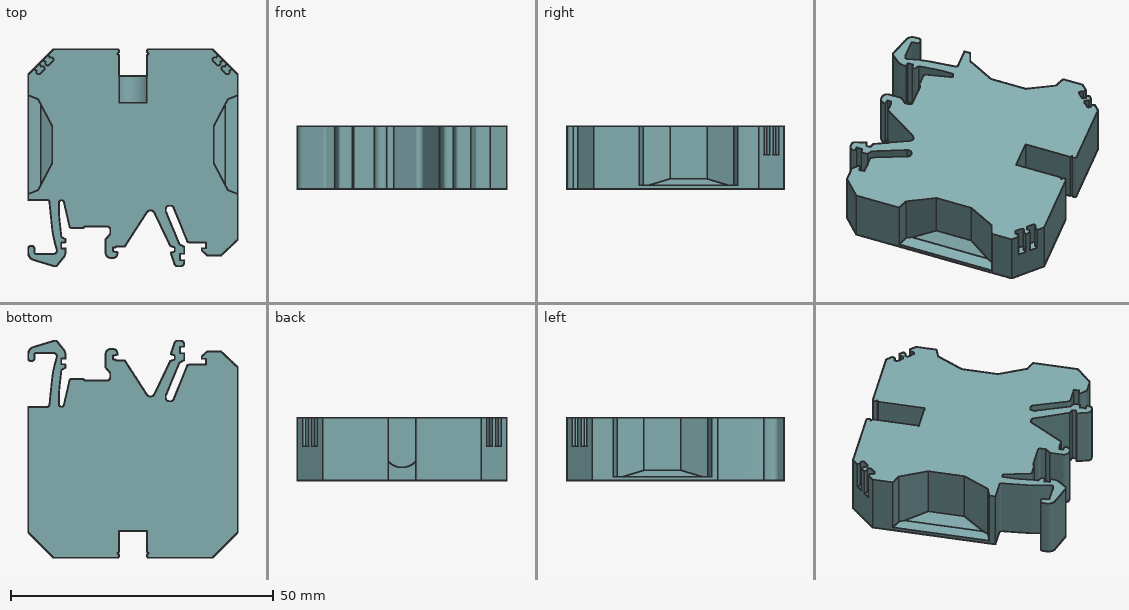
import cadquery as cq
import math

WIDTH = 40.0
HEIGHT = 41.45
THICKNESS = 12.0
SIDE = WIDTH / 2
CORNER_CHAMFER = 4.85
CHAMFER_ANGLE = 45

SLOT_HALF_WIDTH = 2.65
SLOT_OPEN_Y = 36.35
SEAT_END_Y = 31.25
SEAT_RADIUS = 3.5
BEAD_HALF_GAP = 3.0
BEAD_FOOT_Y = 40.8
BEAD_NOTCH_Y = 40.55
BEAD_END_Y = 40.3
BEAD_RADIUS = 0.4
BEAD_FOOT_RADIUS = 0.12

RECESS_Y = 23.2
RECESS_MOUTH_HALF = 9.4
RECESS_LIP_HALF = 8.65
RECESS_BACK_HALF = 3.52
RECESS_LIP_DEPTH = 1.9
RECESS_DEPTH = 4.6
RECESS_FLOOR_Z = 0.75
RAMP_START_DEPTH = 2.45
RAMP_TOP_Z = 2.0

MARKER_PITCH = 2.4
MARKER_MOUTH_WIDTH = 1.5
MARKER_NECK_WIDTH = 1.15
MARKER_NECK_DEPTH = 0.65
MARKER_HEAD_WIDTH = 1.8
MARKER_HEAD_DEPTH = 1.55
MARKER_HEAD_RADIUS = 0.35
MARKER_LENGTH = 5.45

LEFT_SHOULDER_Y = 12.65
RAIL_FACE_Y = 7.6
RAIL_STEP_Y = 7.3
HOOK_FLOOR_Y = 2.4
RIGHT_SHOULDER_Y = 4.55
RIGHT_FOOT_Y = 2.07
RIGHT_CHAMFER_TOP_Y = 5.1

HOOK_INNER_X = -18.77
HOOK_TIP_Y = 3.95
HOOK_TIP_RADIUS = 0.6
CATCH_ROOT_X = -13.65
CATCH_TIP_X = -12.85
LEG_INNER_X = -14.1
LEG_SLOT_TOP_Y = 12.6

CLAW_ROOT_X = -4.35
CLAW_BACK_X = -5.25
CLAW_TIP_Y = 1.57

SPRING_TIP_X = 9.8
SPRING_NOTCH_X = 9.0
SPRING_GROOVE_X = 7.95
SPRING_SLOT_X = 6.25
SPRING_SLOT_TOP_Y = 11.55
SPRING_SLOT_RADIUS = 0.65

FOOT_ROOT_X = 13.9
FOOT_TIP_X = 13.1

COINCIDENT = 4.14e-07


def rounded_outline(corners):
    """Closed wire through (x, y, radius) corners, each rounded by a tangent arc; radius 0 stays sharp."""
    count = len(corners)
    stretches = []
    for index, (x, y, radius) in enumerate(corners):
        corner = cq.Vector(x, y)
        if radius == 0:
            stretches.append((corner,))
            continue
        before = cq.Vector(*corners[index - 1][:2]) - corner
        after = cq.Vector(*corners[(index + 1) % count][:2]) - corner
        half_angle = before.getAngle(after) / 2
        setback = radius / math.tan(half_angle)
        bisector = (before.normalized() + after.normalized()).normalized()
        middle = corner + bisector * (radius / math.sin(half_angle) - radius)
        start = corner + before.normalized() * setback
        end = corner + after.normalized() * setback
        stretches.append((start, middle, end))
    edges = []
    for index, stretch in enumerate(stretches):
        if len(stretch) > 1:
            edges.append(cq.Edge.makeThreePointArc(*stretch))
        following = stretches[(index + 1) % count][0]
        if (following - stretch[-1]).Length > COINCIDENT:
            edges.append(cq.Edge.makeLine(stretch[-1], following))
    return cq.Wire.assembleEdges(edges)


def prism(corners, height):
    """Upright solid on Z = 0 with the rounded outline as its base."""
    face = cq.Face.makeFromWires(rounded_outline(corners))
    return cq.Workplane(cq.Solid.extrudeLinear(face, cq.Vector(0, 0, height)))


def slot_edge(side):
    """One wall of the screw slot, from the +Y edge inwards; side is -1 for left, 1 for right."""
    wall = side * SLOT_HALF_WIDTH
    return [
        (wall, HEIGHT, BEAD_RADIUS),
        (wall, BEAD_FOOT_Y, BEAD_FOOT_RADIUS),
        (side * BEAD_HALF_GAP, BEAD_NOTCH_Y, 0),
        (wall, BEAD_END_Y, 0),
        (wall, SLOT_OPEN_Y, 0),
    ]


HOOK_LEG = [
    (-SIDE, LEFT_SHOULDER_Y, 0),
    (-16.0, LEFT_SHOULDER_Y, 0.37),
    (-15.3, 5.9, 16.58),
    (-14.35, HOOK_FLOOR_Y, 0.62),
    (HOOK_INNER_X, HOOK_FLOOR_Y, 0.25),
    (HOOK_INNER_X, HOOK_TIP_Y, HOOK_TIP_RADIUS),
    (-SIDE, HOOK_TIP_Y, HOOK_TIP_RADIUS),
    (-SIDE, 1.55, 1.45),
    (-14.65, -0.1, 0.55),
    (CATCH_TIP_X, 2.15, 1.65),
    (CATCH_TIP_X, 3.45, 0),
    (CATCH_ROOT_X, 3.45, 0),
    (CATCH_ROOT_X, 4.5, 0),
    (CATCH_TIP_X, 4.5, 0.25),
    (CATCH_TIP_X, 5.2, 0.15),
    (CATCH_ROOT_X, 5.65, 0),
    (LEG_INNER_X, 9.75, 16.58),
    (LEG_INNER_X, LEG_SLOT_TOP_Y, 0.4),
    (-13.25, LEG_SLOT_TOP_Y, 0.37),
    (-12.05, RAIL_STEP_Y, 0.5),
    (-9.5, RAIL_STEP_Y, 0),
    (-9.25, RAIL_FACE_Y, 0),
]

CLAW = [
    (CLAW_ROOT_X, RAIL_FACE_Y, 0.55),
    (CLAW_ROOT_X, 6.17, 0),
    (CLAW_BACK_X, 5.15, 0),
    (CLAW_BACK_X, CLAW_TIP_Y, 1.1),
    (-3.1, CLAW_TIP_Y, 0.95),
    (-2.9, 2.7, 0),
    (-3.77, 2.9, 0),
    (-3.77, 3.6, 0),
    (-3.35, 3.6, 0),
    (-3.27, 3.77, 0),
    (-1.57, 3.77, 0),
    (3.45, 11.5, 0.83),
]

SPRING_LEG = [
    (7.1, 3.9, 0),
    (SPRING_GROOVE_X, 3.6, 0),
    (SPRING_GROOVE_X, 2.85, 0),
    (7.15, 2.6, 0),
    (8.05, 0, 0.7),
    (SPRING_TIP_X, 0, 0.75),
    (SPRING_TIP_X, 1.2, 0.2),
    (SPRING_NOTCH_X, 1.2, 0),
    (SPRING_NOTCH_X, 2.4, 0),
    (SPRING_TIP_X, 2.4, 0),
    (SPRING_TIP_X, 3.75, 0),
    (8.85, 4.23, 0.25),
    (SPRING_SLOT_X, 10.53, 0),
    (SPRING_SLOT_X, SPRING_SLOT_TOP_Y, SPRING_SLOT_RADIUS),
    (7.6, SPRING_SLOT_TOP_Y, SPRING_SLOT_RADIUS),
    (10.4, RIGHT_SHOULDER_Y, 0.55),
]

RIGHT_FOOT = [
    (FOOT_ROOT_X, RIGHT_SHOULDER_Y, 0),
    (FOOT_ROOT_X, 3.5, 0),
    (FOOT_TIP_X, 3.5, 0.12),
    (FOOT_TIP_X, 3.05, 0.1),
    (14.15, RIGHT_FOOT_Y, 0.15),
    (16.8, RIGHT_FOOT_Y, 0),
    (SIDE, RIGHT_CHAMFER_TOP_Y, 0),
]

TOP_EDGE = [
    (SIDE, HEIGHT - CORNER_CHAMFER, 0),
    (SIDE - CORNER_CHAMFER, HEIGHT, 0),
    *slot_edge(1),
    *reversed(slot_edge(-1)),
    (-SIDE + CORNER_CHAMFER, HEIGHT, 0),
    (-SIDE, HEIGHT - CORNER_CHAMFER, 0),
]


def screw_seat():
    """Floored end of the slot, open at the +Z face; the floor is an arc about an axis along Y."""
    axis_z = THICKNESS / 2
    floor_low_z = axis_z - SEAT_RADIUS
    floor_side_z = axis_z - math.sqrt(SEAT_RADIUS**2 - SLOT_HALF_WIDTH**2)
    return (
        cq.Workplane("XZ", origin=(0, SLOT_OPEN_Y, 0))
        .moveTo(-SLOT_HALF_WIDTH, THICKNESS)
        .lineTo(-SLOT_HALF_WIDTH, floor_side_z)
        .threePointArc((0, floor_low_z), (SLOT_HALF_WIDTH, floor_side_z))
        .lineTo(SLOT_HALF_WIDTH, THICKNESS)
        .close()
        .extrude(SLOT_OPEN_Y - SEAT_END_Y)
    )


def cable_recess():
    """Recess in the -X side: a flat floor that ramps up towards the back wall."""
    pocket = prism([
        (0, RECESS_MOUTH_HALF, 0),
        (RECESS_LIP_DEPTH, RECESS_LIP_HALF, 0),
        (RECESS_DEPTH, RECESS_BACK_HALF, 0),
        (RECESS_DEPTH, -RECESS_BACK_HALF, 0),
        (RECESS_LIP_DEPTH, -RECESS_LIP_HALF, 0),
        (0, -RECESS_MOUTH_HALF, 0),
    ], THICKNESS - RECESS_FLOOR_Z).translate((-SIDE, RECESS_Y, RECESS_FLOOR_Z))
    ramp = (
        cq.Workplane("XZ", origin=(-SIDE, RECESS_Y, 0))
        .polyline([
            (RAMP_START_DEPTH, RECESS_FLOOR_Z),
            (RECESS_DEPTH, RECESS_FLOOR_Z),
            (RECESS_DEPTH, RAMP_TOP_Z),
        ])
        .close()
        .extrude(RECESS_MOUTH_HALF, both=True)
    )
    return pocket.cut(ramp)


def marker_groove():
    """T-shaped groove entering along -Y from a face at Y = 0."""
    mouth = MARKER_MOUTH_WIDTH / 2
    neck = MARKER_NECK_WIDTH / 2
    head = MARKER_HEAD_WIDTH / 2
    return prism([
        (mouth, 0, 0),
        (neck, -MARKER_NECK_DEPTH, 0),
        (head, -MARKER_NECK_DEPTH, MARKER_HEAD_RADIUS),
        (head, -MARKER_HEAD_DEPTH, MARKER_HEAD_RADIUS),
        (-head, -MARKER_HEAD_DEPTH, MARKER_HEAD_RADIUS),
        (-head, -MARKER_NECK_DEPTH, MARKER_HEAD_RADIUS),
        (-neck, -MARKER_NECK_DEPTH, 0),
        (-mouth, 0, 0),
    ], MARKER_LENGTH)


def marker_grooves():
    """The pair of grooves in the chamfer at the -X, +Y corner."""
    chamfer_middle = (
        -SIDE + CORNER_CHAMFER / 2,
        HEIGHT - CORNER_CHAMFER / 2,
        THICKNESS - MARKER_LENGTH,
    )
    pair = cq.Workplane("XY")
    for offset in (-MARKER_PITCH / 2, MARKER_PITCH / 2):
        pair = pair.add(marker_groove().translate((offset, 0, 0)))
    return pair.combine().rotate((0, 0, 0), (0, 0, 1), CHAMFER_ANGLE).translate(chamfer_middle)


result = prism(HOOK_LEG + CLAW + SPRING_LEG + RIGHT_FOOT + TOP_EDGE, THICKNESS)
result = result.cut(screw_seat())
for side_cut in (cable_recess(), marker_grooves()):
    result = result.cut(side_cut).cut(side_cut.mirror("YZ"))